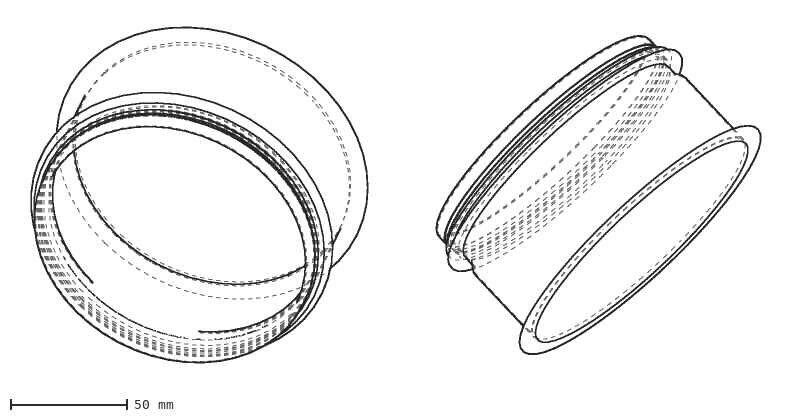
import cadquery as cq
import math


length = 64.0
sheet = 0.5
body_radius = 124.05 / 2
spigot_radius = 119.25 / 2
neck_radius = 60.05
spigot_length = 9.8
neck_end = 21.0
flare_angle = math.radians(35)
neck_bend = 1.2
body_bend = 2.25
hem_length = 6.0

rim_radius = 139.05 / 2
rim_thickness = 2.0
rim_fillet = 0.5

gasket_radius = body_radius - sheet
bead_width = 1.3
bead_center = 8.6
bead_radius = 62.75
small_lip_radius = 129.45 / 2
small_lip_front = 10.0
small_lip_thickness = 1.3
large_lip_radius = 134.45 / 2
large_lip_front = 14.0
large_lip_thickness = 1.7
lip_fillet = 0.3

rim_front = length - rim_thickness
spigot_bore = spigot_radius - sheet
body_bore = body_radius - sheet
hem_outer_bend = (body_radius - spigot_bore) / 2
hem_mid_radius = spigot_bore + hem_outer_bend
gasket_end = large_lip_front + large_lip_thickness


def revolve_about_y(profile):
    return profile.close().revolve(360, (0, 0, 0), (0, 1, 0))


def corner_inset(radius):
    """Distance of a quarter arc's midpoint from each side of the square corner it rounds."""
    return radius * (1 - math.sqrt(0.5))


def flare_points(offset):
    """Points from neck to body along the flare, moved inward by offset from the outer face."""
    neck_arc = neck_bend + offset
    body_arc = body_bend - offset
    sine = math.sin(flare_angle)
    half_sine = math.sin(flare_angle / 2)
    drop = 1 - math.cos(flare_angle)
    half_drop = 1 - math.cos(flare_angle / 2)
    cone_rise = body_radius - neck_radius - (neck_bend + body_bend) * drop
    cone_run = cone_rise / math.tan(flare_angle)
    body_center_y = neck_end + (neck_bend + body_bend) * sine + cone_run
    neck = neck_radius - offset
    body = body_radius - offset
    return {
        "neck": (neck, neck_end),
        "neck_mid": (neck + neck_arc * half_drop, neck_end + neck_arc * half_sine),
        "cone_start": (neck + neck_arc * drop, neck_end + neck_arc * sine),
        "cone_end": (body - body_arc * drop, body_center_y - body_arc * sine),
        "body_mid": (body - body_arc * half_drop, body_center_y - body_arc * half_sine),
        "body": (body, body_center_y),
    }


def make_duct():
    """Duct with a hemmed open end, tapered neck, flare and a round-edged rim."""
    outer = flare_points(0)
    inner = flare_points(sheet)
    rim_edge = rim_thickness / 2
    fillet_mid = corner_inset(rim_fillet)
    profile = (
        cq.Workplane("XY")
        .moveTo(body_bore, length)
        .lineTo(*inner["body"])
        .threePointArc(inner["body_mid"], inner["cone_end"])
        .lineTo(*inner["cone_start"])
        .threePointArc(inner["neck_mid"], inner["neck"])
        .lineTo(spigot_bore, spigot_length)
        .lineTo(spigot_bore, hem_outer_bend)
        .threePointArc((hem_mid_radius, 0), (body_radius, hem_outer_bend))
        .lineTo(body_radius, hem_length)
        .lineTo(body_bore, hem_length)
        .lineTo(body_bore, hem_outer_bend)
        .threePointArc((hem_mid_radius, sheet), (spigot_radius, hem_outer_bend))
        .lineTo(spigot_radius, spigot_length)
        .lineTo(*outer["neck"])
        .threePointArc(outer["neck_mid"], outer["cone_start"])
        .lineTo(*outer["cone_end"])
        .threePointArc(outer["body_mid"], outer["body"])
        .lineTo(body_radius, rim_front - rim_fillet)
        .threePointArc(
            (body_radius + fillet_mid, rim_front - fillet_mid),
            (body_radius + rim_fillet, rim_front),
        )
        .lineTo(rim_radius - rim_edge, rim_front)
        .threePointArc((rim_radius, length - rim_edge), (rim_radius - rim_edge, length))
    )
    return revolve_about_y(profile)


def make_disc():
    """Flat disc that closes the bore, as thick as the rim."""
    profile = (
        cq.Workplane("XY")
        .moveTo(0, rim_front)
        .lineTo(body_bore, rim_front)
        .lineTo(body_bore, length)
        .lineTo(0, length)
    )
    return revolve_about_y(profile)


def add_lip(profile, radius, front, thickness):
    """Continue a gasket outline around one lip with rounded outer corners."""
    back = front + thickness
    corner = corner_inset(lip_fillet)
    return (
        profile.lineTo(gasket_radius, front)
        .lineTo(radius - lip_fillet, front)
        .threePointArc((radius - corner, front + corner), (radius, front + lip_fillet))
        .lineTo(radius, back - lip_fillet)
        .threePointArc((radius - corner, back - corner), (radius - lip_fillet, back))
    )


def make_gasket():
    """Rubber ring held in the hem, with a round bead and two sealing lips."""
    bead_round = bead_width / 2
    bead_front = bead_center - bead_round
    bead_back = bead_center + bead_round
    taper = (neck_radius - spigot_radius) / (neck_end - spigot_length)
    seat_radius = spigot_radius + taper * (gasket_end - spigot_length)
    profile = (
        cq.Workplane("XY")
        .moveTo(spigot_radius, spigot_length)
        .lineTo(spigot_radius, hem_outer_bend)
        .threePointArc((hem_mid_radius, sheet), (gasket_radius, hem_outer_bend))
        .lineTo(gasket_radius, bead_front)
        .lineTo(bead_radius - bead_round, bead_front)
        .threePointArc((bead_radius, bead_center), (bead_radius - bead_round, bead_back))
        .lineTo(gasket_radius, bead_back)
    )
    profile = add_lip(profile, small_lip_radius, small_lip_front, small_lip_thickness)
    profile = profile.lineTo(gasket_radius, small_lip_front + small_lip_thickness)
    profile = add_lip(profile, large_lip_radius, large_lip_front, large_lip_thickness)
    profile = profile.lineTo(seat_radius, gasket_end)
    return revolve_about_y(profile)


duct = make_duct()
disc = make_disc()
gasket = make_gasket()

result = cq.Compound.makeCompound([duct.val(), disc.val(), gasket.val()])